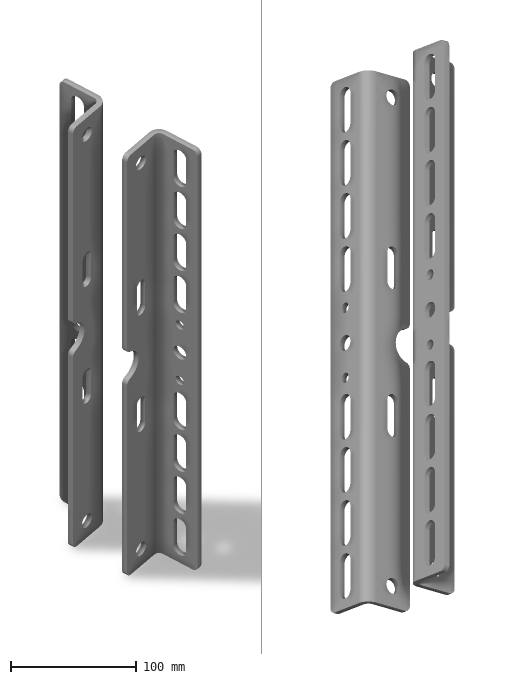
import cadquery as cq
import math

LENGTH = 450.0
LEG_WIDTH = 45.0
THICKNESS = 5.0
GAP = 50.0
INNER_BEND_RADIUS = 5.0
OUTER_BEND_RADIUS = INNER_BEND_RADIUS + THICKNESS
CORNER_RADIUS = 5.0

REAR_LINE = 18.0
REAR_SLOT_LENGTH = 38.2
REAR_SLOT_WIDTH = 13.0
REAR_SLOT_PITCH = 45.0
REAR_SLOTS_PER_HALF = 4
FIRST_REAR_SLOT_HEIGHT = 62.5
CENTRE_HOLE_DIAMETER = 13.0
SMALL_HOLE_DIAMETER = 8.5
SMALL_HOLE_HEIGHT = 29.5

SIDE_LINE = 18.0
SIDE_SLOT_LENGTH = 36.0
SIDE_SLOT_WIDTH = 11.0
SIDE_SLOT_HEIGHT = 62.5
END_HOLE_DIAMETER = 13.0
END_HOLE_INSET = 18.0
NOTCH_RADIUS = 15.0
NOTCH_LIP_RADIUS = 5.0

SIDE_FACE_X = -GAP / 2
REAR_EDGE_X = SIDE_FACE_X - LEG_WIDTH
REAR_FACE_Y = LEG_WIDTH / 2
SIDE_EDGE_Y = REAR_FACE_Y - LEG_WIDTH


def bent_plate():
    """L-section plate with a rounded bend and rounded free corners."""
    plate = (
        cq.Workplane("XY", origin=(0, 0, -LENGTH / 2))
        .moveTo(REAR_EDGE_X, REAR_FACE_Y)
        .lineTo(SIDE_FACE_X - OUTER_BEND_RADIUS, REAR_FACE_Y)
        .radiusArc((SIDE_FACE_X, REAR_FACE_Y - OUTER_BEND_RADIUS), OUTER_BEND_RADIUS)
        .lineTo(SIDE_FACE_X, SIDE_EDGE_Y)
        .lineTo(SIDE_FACE_X - THICKNESS, SIDE_EDGE_Y)
        .lineTo(SIDE_FACE_X - THICKNESS, REAR_FACE_Y - OUTER_BEND_RADIUS)
        .radiusArc((SIDE_FACE_X - OUTER_BEND_RADIUS, REAR_FACE_Y - THICKNESS), -INNER_BEND_RADIUS)
        .lineTo(REAR_EDGE_X, REAR_FACE_Y - THICKNESS)
        .close()
        .extrude(LENGTH)
    )
    plate = plate.faces("<X").edges("|Y").fillet(CORNER_RADIUS)
    return plate.faces("<Y").edges("|X").fillet(CORNER_RADIUS)


def rear_leg_openings():
    """Cutters for the slots and round holes through the rear leg."""
    slot_heights = [
        side * (FIRST_REAR_SLOT_HEIGHT + index * REAR_SLOT_PITCH)
        for side in (1, -1)
        for index in range(REAR_SLOTS_PER_HALF)
    ]
    plane = cq.Workplane("XZ", origin=(REAR_EDGE_X + REAR_LINE, REAR_FACE_Y, 0))
    slots = (
        plane.pushPoints([(0, height) for height in slot_heights])
        .slot2D(REAR_SLOT_LENGTH, REAR_SLOT_WIDTH, 90)
        .extrude(THICKNESS)
    )
    centre_hole = plane.circle(CENTRE_HOLE_DIAMETER / 2).extrude(THICKNESS)
    small_holes = (
        plane.pushPoints([(0, SMALL_HOLE_HEIGHT), (0, -SMALL_HOLE_HEIGHT)])
        .circle(SMALL_HOLE_DIAMETER / 2)
        .extrude(THICKNESS)
    )
    return slots.union(centre_hole).union(small_holes)


def side_leg_openings():
    """Cutters for the slots and end holes through the side leg."""
    end_hole_height = LENGTH / 2 - END_HOLE_INSET
    plane = cq.Workplane("YZ", origin=(SIDE_FACE_X, SIDE_EDGE_Y + SIDE_LINE, 0))
    slots = (
        plane.pushPoints([(0, SIDE_SLOT_HEIGHT), (0, -SIDE_SLOT_HEIGHT)])
        .slot2D(SIDE_SLOT_LENGTH, SIDE_SLOT_WIDTH, 90)
        .extrude(-THICKNESS)
    )
    end_holes = (
        plane.pushPoints([(0, end_hole_height), (0, -end_hole_height)])
        .circle(END_HOLE_DIAMETER / 2)
        .extrude(-THICKNESS)
    )
    return slots.union(end_holes)


def edge_notch():
    """Cutter for the round notch in the side leg's free edge, with rounded lips."""
    lip_height = math.sqrt((NOTCH_RADIUS + NOTCH_LIP_RADIUS) ** 2 - NOTCH_LIP_RADIUS**2)
    share = NOTCH_RADIUS / (NOTCH_RADIUS + NOTCH_LIP_RADIUS)
    tangent_depth = NOTCH_LIP_RADIUS * share
    tangent_height = lip_height * share
    return (
        cq.Workplane("YZ", origin=(SIDE_FACE_X, SIDE_EDGE_Y, 0))
        .moveTo(0, -lip_height)
        .radiusArc((tangent_depth, -tangent_height), NOTCH_LIP_RADIUS)
        .threePointArc((NOTCH_RADIUS, 0), (tangent_depth, tangent_height))
        .radiusArc((0, lip_height), NOTCH_LIP_RADIUS)
        .close()
        .extrude(-THICKNESS)
    )


def left_bracket():
    """Slotted angle bracket with its side leg toward the middle of the pair."""
    bracket = bent_plate()
    bracket = bracket.cut(rear_leg_openings())
    bracket = bracket.cut(side_leg_openings())
    bracket = bracket.cut(edge_notch())
    return bracket.solids()


brackets = []
for mirrored in (False, True):
    bracket = left_bracket()
    if mirrored:
        bracket = bracket.mirror("YZ")
    brackets.append(bracket.val())

result = cq.Compound.makeCompound(brackets)